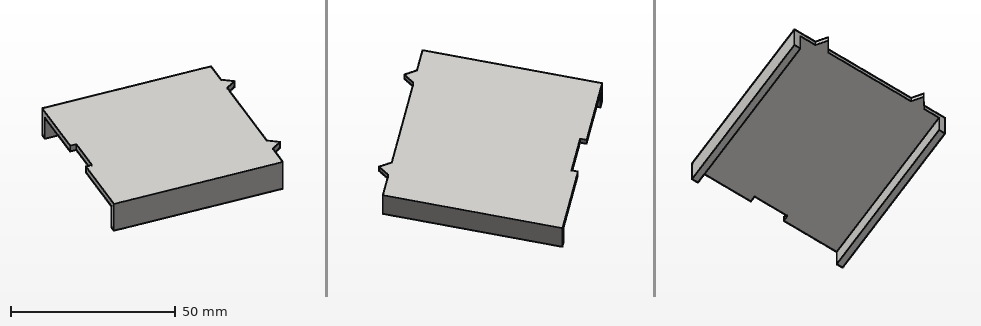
import cadquery as cq

width = 55.2
overall_length = 59.45
height = 10.0
thickness = 2.2

tab_length = 3.45
tab_base = 4.75
tab_spacing = 35.0

notch_width = 12.0
notch_depth = 2.0

body_length = overall_length - tab_length
plate_bottom = height - thickness


def make_channel():
    """Top plate with a side wall along each long edge, open at front and rear."""
    block = cq.Workplane("XY").box(width, body_length, height, centered=(True, False, False))
    opening = cq.Workplane("XY").box(
        width - 2 * thickness, body_length, plate_bottom, centered=(True, False, False)
    )
    return block.cut(opening)


def make_tab(center_x):
    """Triangular tab, as thick as the plate, pointing rearward."""
    return (
        cq.Workplane("XY", origin=(center_x, body_length, plate_bottom))
        .moveTo(-tab_base / 2, 0)
        .lineTo(tab_base / 2, 0)
        .lineTo(0, tab_length)
        .close()
        .extrude(thickness)
    )


def make_notch():
    """Rectangular cutter at the middle of the plate's front edge."""
    return (
        cq.Workplane("XY", origin=(0, 0, plate_bottom))
        .box(notch_width, notch_depth, thickness, centered=(True, False, False))
    )


result = make_channel().cut(make_notch())
for side in (-1, 1):
    result = result.union(make_tab(side * tab_spacing / 2))